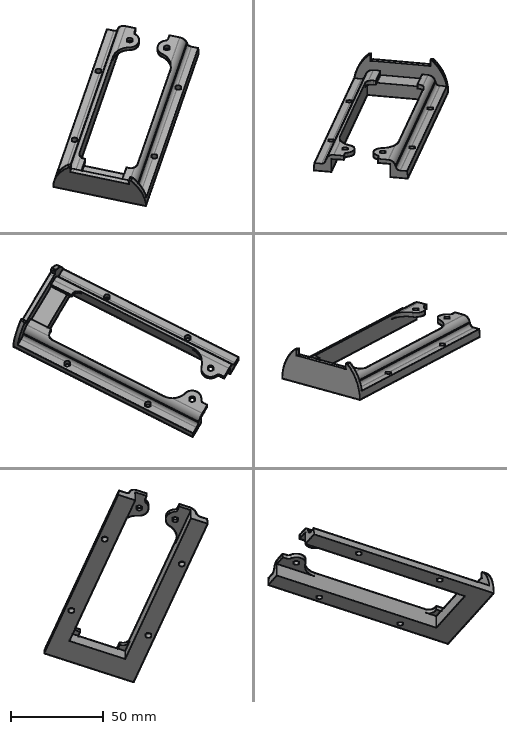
import cadquery as cq
import math

length = 110.2
outer_width = 51.7
outer_radius = outer_width / 2
plate_height = 19.0
plate_thickness = 2.5

inner_wall_x = 16.1
ledge_height = 4.5
groove_radius = 2.2
bevel_size = 0.28
crown_height = 10.4
crown_radius = 4.2
crown_center_x = 15.0

notch_height = 15.8
notch_half_width = 16.4

web_end_y = 12.5
tab_thickness = 2.5
web_height = crown_height - tab_thickness
tab_end_y = 15.2
tab_corner_radius = 3.7
left_tab_inner_x = 11.9
right_tab_inner_x = 10.9

ear_hole_x = 10.4
ear_hole_y = 101.3
ear_lobe_radius = 5.1
ear_inner_x = 9.4
ear_neck_radius = 2.0
ear_root_radius = 9.6

hole_diameter = 3.2
ledge_hole_x = 22.3
ledge_hole_ys = (31.2, 80.7)


def circle_drop(radius, offset):
    """Drop of a circle below its top at a sideways offset from its center."""
    return radius - math.sqrt(radius**2 - offset**2)


def circle_x(z):
    """Half-width of the half-round outline at height z."""
    return math.sqrt(outer_radius**2 - z**2)


def crown_z(x):
    """Height of the rail crown at distance x from the middle plane."""
    return crown_height - circle_drop(crown_radius, x - crown_center_x)


def point_towards(start, end, distance):
    """Point at a given distance from start on the line to end."""
    span = math.dist(start, end)
    return tuple(a + (b - a) * distance / span for a, b in zip(start, end))


def arc_middle(center, start, end):
    """Middle point of the shorter arc about center from start to end."""
    chord_middle = tuple((a + b) / 2 for a, b in zip(start, end))
    return point_towards(center, chord_middle, math.dist(center, start))


def extrude_along_y(profile, start_y, end_y):
    """Extrude a closed XZ profile from start_y to end_y."""
    return profile.extrude(start_y - end_y).translate((0, start_y, 0))


def mirrored(right_side):
    """The right-hand shape together with its left-hand mirror image."""
    return right_side.union(right_side.mirror("YZ"))


def end_plate():
    """Half-round plate with a flat top and a crowned notch."""
    half_top = circle_x(plate_height)
    outline = (
        cq.Workplane("XZ")
        .moveTo(-outer_radius, 0)
        .lineTo(outer_radius, 0)
        .threePointArc((circle_x(plate_height / 2), plate_height / 2), (half_top, plate_height))
        .lineTo(-half_top, plate_height)
        .threePointArc((-circle_x(plate_height / 2), plate_height / 2), (-outer_radius, 0))
        .close()
    )
    corner_run = notch_half_width - crown_center_x
    corner_z = notch_height - circle_drop(crown_radius, corner_run)
    middle_run = corner_run / 2
    middle_x = crown_center_x + middle_run
    middle_z = notch_height - circle_drop(crown_radius, middle_run)
    notch = (
        cq.Workplane("XZ")
        .moveTo(-crown_center_x, notch_height)
        .lineTo(crown_center_x, notch_height)
        .threePointArc((middle_x, middle_z), (notch_half_width, corner_z))
        .lineTo(notch_half_width, plate_height)
        .lineTo(-notch_half_width, plate_height)
        .lineTo(-notch_half_width, corner_z)
        .threePointArc((-middle_x, middle_z), (-crown_center_x, notch_height))
        .close()
    )
    plate = extrude_along_y(outline, 0, plate_thickness)
    return plate.cut(extrude_along_y(notch, 0, plate_thickness))


def rail():
    """Right-hand rail: round outer wall, flat ledge, concave groove, narrow bevel and convex crown."""
    crown_center_z = crown_height - crown_radius
    groove_top_z = ledge_height + groove_radius
    crown_foot_z = groove_top_z + bevel_size
    crown_foot_x = crown_center_x + math.sqrt(crown_radius**2 - (crown_foot_z - crown_center_z) ** 2)
    groove_end_x = crown_foot_x + bevel_size
    groove_start_x = groove_end_x + groove_radius
    groove_middle = groove_radius * math.sqrt(0.5)
    crown_middle_x = (crown_foot_x + inner_wall_x) / 2
    profile = (
        cq.Workplane("XZ")
        .moveTo(inner_wall_x, 0)
        .lineTo(outer_radius, 0)
        .threePointArc(
            (circle_x(ledge_height / 2), ledge_height / 2),
            (circle_x(ledge_height), ledge_height),
        )
        .lineTo(groove_start_x, ledge_height)
        .threePointArc(
            (groove_start_x - groove_middle, groove_top_z - groove_middle),
            (groove_end_x, groove_top_z),
        )
        .lineTo(crown_foot_x, crown_foot_z)
        .threePointArc((crown_middle_x, crown_z(crown_middle_x)), (inner_wall_x, crown_z(inner_wall_x)))
        .close()
    )
    return extrude_along_y(profile, 0, length)


def flange():
    """Full-length slab that continues the crown inwards; ears and tabs are trimmed from it."""
    middle_x = (crown_center_x + inner_wall_x) / 2
    profile = (
        cq.Workplane("XZ")
        .moveTo(0, web_height)
        .lineTo(inner_wall_x, web_height)
        .lineTo(inner_wall_x, crown_z(inner_wall_x))
        .threePointArc((middle_x, crown_z(middle_x)), (crown_center_x, crown_height))
        .lineTo(0, crown_height)
        .close()
    )
    return extrude_along_y(profile, 0, length)


def ear():
    """Right-hand screw ear at the open end, a round lobe blended into the rail."""
    lobe = (ear_hole_x, ear_hole_y)
    neck_x = ear_inner_x - ear_neck_radius
    neck_reach = ear_lobe_radius + ear_neck_radius
    neck = (neck_x, ear_hole_y + math.sqrt(neck_reach**2 - (ear_hole_x - neck_x) ** 2))
    root_x = inner_wall_x - ear_root_radius
    root_reach = ear_lobe_radius + ear_root_radius
    root = (root_x, ear_hole_y - math.sqrt(root_reach**2 - (ear_hole_x - root_x) ** 2))
    neck_end = point_towards(neck, lobe, ear_neck_radius)
    neck_start = (ear_inner_x, neck[1])
    root_start = point_towards(root, lobe, ear_root_radius)
    root_end = (inner_wall_x, root[1])
    plan = (
        cq.Workplane("XY")
        .moveTo(inner_wall_x, length)
        .lineTo(ear_inner_x, length)
        .lineTo(*neck_start)
        .threePointArc(arc_middle(neck, neck_start, neck_end), neck_end)
        .threePointArc((ear_hole_x - ear_lobe_radius, ear_hole_y), root_start)
        .threePointArc(arc_middle(root, root_start, root_end), root_end)
        .close()
        .extrude(crown_height)
    )
    return flange().intersect(plan)


def corner_tab(inner_x):
    """Right-hand tab in the corner behind the end plate, rounded into the rail."""
    diagonal = tab_corner_radius * (1 - math.sqrt(0.5))
    plan = (
        cq.Workplane("XY")
        .moveTo(inner_x, 0)
        .lineTo(inner_wall_x, 0)
        .lineTo(inner_wall_x, tab_end_y + tab_corner_radius)
        .threePointArc(
            (inner_wall_x - diagonal, tab_end_y + diagonal),
            (inner_wall_x - tab_corner_radius, tab_end_y),
        )
        .lineTo(inner_x, tab_end_y)
        .close()
        .extrude(crown_height)
    )
    return flange().intersect(plan)


def web():
    """Block that ties the rails together behind the end plate."""
    return cq.Workplane("XY").box(
        2 * inner_wall_x, web_end_y, web_height, centered=(True, False, False)
    )


def screw_holes():
    """Vertical through holes in the ears and the rail ledges."""
    centers = [(ear_hole_x, ear_hole_y)] + [(ledge_hole_x, y) for y in ledge_hole_ys]
    right_side = cq.Workplane("XY").pushPoints(centers).circle(hole_diameter / 2).extrude(plate_height)
    return mirrored(right_side)


result = (
    end_plate()
    .union(web())
    .union(mirrored(rail().union(ear())))
    .union(corner_tab(right_tab_inner_x))
    .union(corner_tab(left_tab_inner_x).mirror("YZ"))
    .cut(screw_holes())
)